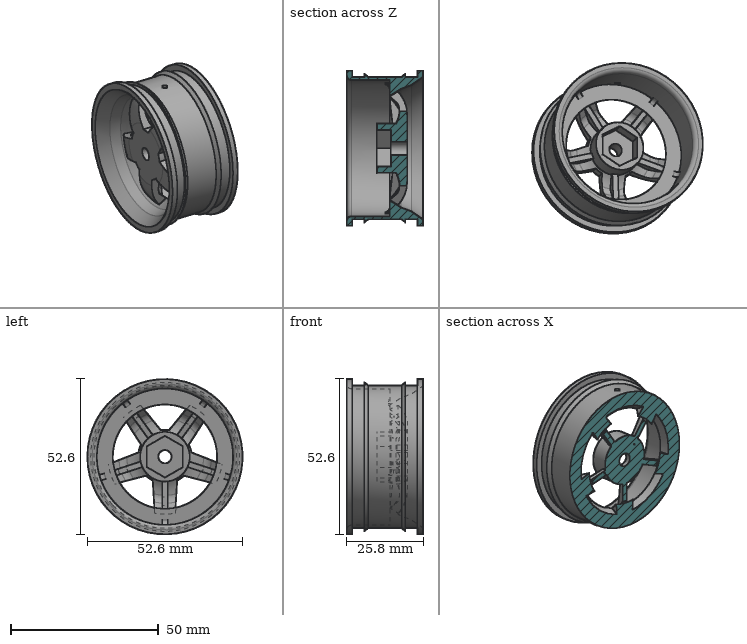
import cadquery as cq
import math


WIDTH = 25.83
FLANGE_RADIUS = 26.29
FLANGE_WIDTH = 1.9
BARREL_RADIUS = 24.15
BARREL_BORE_RADIUS = 23.05
LIP_RADIUS = 1.6
RIDGE_RADIUS = 25.2
RIDGE_OUTER_X = 6.97
RIDGE_INNER_X = 5.63
VENT_DIAMETER = 1.8

DISC_FRONT_X = 1.6
DISC_BORE_RADIUS = 17.6

INNER_CONE_X = 5.4
INNER_CONE_RADIUS = 20.0
MIDDLE_CONE_X = 8.9
MIDDLE_CONE_RADIUS = 21.3
MOUTH_RADIUS = 24.1

HUB_RADIUS = 8.4
HUB_FRONT_X = -2.7
HUB_BORE_DIAMETER = 4.4
HEX_ACROSS_FLATS = 12.2
HEX_DEPTH = 4.7

SPOKE_COUNT = 5
SPOKE_PITCH = 360 / SPOKE_COUNT
DOME_TOP_X = 7.6
DOME_TOP_RADIUS = 11.0
DOME_ARC_RADIUS = 12.5
DISH_BOTTOM_RADIUS = 13.0
DISH_INNER_ARC_RADIUS = 9.5
DISH_OUTER_ARC_RADIUS = 3.6
DISH_WALL_ANGLE = 48
WINDOW_INNER_RADIUS = 9.1
SPOKE_HALF_WIDTH_AT_HUB = 4.1
SPOKE_HALF_WIDTH_AT_DISC = 3.6
RIB_WIDTH = 1.95
RIB_DEPTH_AT_HUB = 1.05

GUSSET_WIDTH = 1.95
GUSSET_RADIUS = 1.7

OVERLAP = 0.3


def revolve_about_x(profile):
    """Revolve a closed XY outline (x, radius) about the X axis."""
    return profile.close().revolve(360, (0, 0, 0), (1, 0, 0))


def repeat_per_spoke(body):
    """Copies of a body at the spoke pitch around the X axis."""
    copies = cq.Workplane("XY")
    for index in range(SPOKE_COUNT):
        copies = copies.add(body.rotate((0, 0, 0), (1, 0, 0), index * SPOKE_PITCH))
    return copies.combine()


def make_rim():
    """Barrel with flanges, tyre ridges, disc face, coned back bore and air vent."""
    end_x = WIDTH / 2
    flange_x = end_x - FLANGE_WIDTH
    lip_x = end_x - LIP_RADIUS
    lip_outer = BARREL_BORE_RADIUS + LIP_RADIUS
    lip_mid = LIP_RADIUS * (1 - math.sqrt(0.5))
    profile = (
        cq.Workplane("XY")
        .moveTo(-end_x, lip_outer)
        .lineTo(-end_x, FLANGE_RADIUS)
        .lineTo(-flange_x, FLANGE_RADIUS)
        .lineTo(-flange_x, BARREL_RADIUS)
        .lineTo(-RIDGE_OUTER_X, BARREL_RADIUS)
        .lineTo(-RIDGE_OUTER_X, RIDGE_RADIUS)
        .lineTo(-RIDGE_INNER_X, BARREL_RADIUS)
        .lineTo(RIDGE_INNER_X, BARREL_RADIUS)
        .lineTo(RIDGE_OUTER_X, RIDGE_RADIUS)
        .lineTo(RIDGE_OUTER_X, BARREL_RADIUS)
        .lineTo(flange_x, BARREL_RADIUS)
        .lineTo(flange_x, FLANGE_RADIUS)
        .lineTo(end_x, FLANGE_RADIUS)
        .lineTo(end_x, MOUTH_RADIUS)
        .lineTo(MIDDLE_CONE_X, MIDDLE_CONE_RADIUS)
        .lineTo(INNER_CONE_X, INNER_CONE_RADIUS)
        .lineTo(DISC_FRONT_X, DISC_BORE_RADIUS)
        .lineTo(DISC_FRONT_X, BARREL_BORE_RADIUS)
        .lineTo(-lip_x, BARREL_BORE_RADIUS)
        .threePointArc((lip_mid - end_x, BARREL_BORE_RADIUS + lip_mid), (-end_x, lip_outer))
    )
    vent = cq.Workplane("XY").circle(VENT_DIAMETER / 2).extrude(FLANGE_RADIUS)
    return revolve_about_x(profile).cut(vent)


WALL_SLOPE = math.radians(DISH_WALL_ANGLE)
WALL_FOOT_RADIUS = DISH_BOTTOM_RADIUS + DISH_OUTER_ARC_RADIUS * math.sin(WALL_SLOPE)
WALL_FOOT_X = DISC_FRONT_X + (DISC_BORE_RADIUS - WALL_FOOT_RADIUS) * math.tan(WALL_SLOPE)
DISH_BOTTOM_X = WALL_FOOT_X + DISH_OUTER_ARC_RADIUS * (1 - math.cos(WALL_SLOPE))


def dish_point(arc_radius, angle):
    """Point on a dish arc, turned by an angle away from its deepest circle."""
    x = DISH_BOTTOM_X - arc_radius * (1 - math.cos(angle))
    return (x, DISH_BOTTOM_RADIUS + arc_radius * math.sin(angle))


def dome_point(angle):
    """Point on the dome arc, turned by an angle away from its flat top."""
    x = DOME_TOP_X - DOME_ARC_RADIUS * (1 - math.cos(angle))
    return (x, DOME_TOP_RADIUS + DOME_ARC_RADIUS * math.sin(angle))


def make_web():
    """Full ring between the dished front and the domed back, before the windows."""
    hub_angle = math.asin((HUB_RADIUS - DISH_BOTTOM_RADIUS) / DISH_INNER_ARC_RADIUS)
    dome_angle = math.asin((INNER_CONE_RADIUS - DOME_TOP_RADIUS) / DOME_ARC_RADIUS)
    dome_edge = dome_point(dome_angle)
    profile = (
        cq.Workplane("XY")
        .moveTo(DISC_FRONT_X, DISC_BORE_RADIUS)
        .lineTo(WALL_FOOT_X, WALL_FOOT_RADIUS)
        .threePointArc(
            dish_point(DISH_OUTER_ARC_RADIUS, WALL_SLOPE / 2),
            (DISH_BOTTOM_X, DISH_BOTTOM_RADIUS),
        )
        .threePointArc(
            dish_point(DISH_INNER_ARC_RADIUS, hub_angle / 2),
            dish_point(DISH_INNER_ARC_RADIUS, hub_angle),
        )
        .lineTo(DOME_TOP_X, HUB_RADIUS)
        .lineTo(DOME_TOP_X, DOME_TOP_RADIUS)
        .threePointArc(dome_point(dome_angle / 2), dome_edge)
        .lineTo(DISC_FRONT_X, dome_edge[1])
    )
    return revolve_about_x(profile)


def make_star():
    """Hub circle and tapered arms: what remains of the web between the windows."""
    reach = BARREL_BORE_RADIUS
    spoke_length = DISC_BORE_RADIUS - WINDOW_INNER_RADIUS
    taper = (SPOKE_HALF_WIDTH_AT_HUB - SPOKE_HALF_WIDTH_AT_DISC) / spoke_length
    half_width_on_axis = SPOKE_HALF_WIDTH_AT_HUB + taper * WINDOW_INNER_RADIUS
    half_width_at_reach = half_width_on_axis - taper * reach
    arm = (
        cq.Workplane("YZ")
        .moveTo(-half_width_on_axis, 0)
        .lineTo(half_width_on_axis, 0)
        .lineTo(half_width_at_reach, -reach)
        .lineTo(-half_width_at_reach, -reach)
        .close()
        .extrude(WIDTH)
    )
    centre = cq.Workplane("YZ").circle(WINDOW_INNER_RADIUS).extrude(WIDTH)
    return centre.union(repeat_per_spoke(arm))


def make_ribs():
    """Stiffening ribs along the middle of the spokes, from the disc to the hub."""
    rib = (
        cq.Workplane("XZ")
        .moveTo(DISC_FRONT_X, -DISC_BORE_RADIUS)
        .lineTo(DISC_FRONT_X + RIB_DEPTH_AT_HUB, -HUB_RADIUS + OVERLAP)
        .lineTo(DISH_BOTTOM_X + OVERLAP, -HUB_RADIUS + OVERLAP)
        .lineTo(DISH_BOTTOM_X + OVERLAP, -DISH_BOTTOM_RADIUS)
        .lineTo(DISC_FRONT_X + OVERLAP, -DISC_BORE_RADIUS - OVERLAP)
        .lineTo(DISC_FRONT_X, -DISC_BORE_RADIUS - OVERLAP)
        .close()
        .extrude(RIB_WIDTH / 2, both=True)
    )
    return repeat_per_spoke(rib)


def make_gussets():
    """Concave fillet blocks in the corner between disc face and barrel bore."""
    inner = BARREL_BORE_RADIUS - GUSSET_RADIUS
    front = DISC_FRONT_X - GUSSET_RADIUS
    arc_mid = GUSSET_RADIUS * math.sqrt(0.5)
    gusset = (
        cq.Workplane("XZ")
        .moveTo(DISC_FRONT_X, -inner)
        .threePointArc((front + arc_mid, -inner - arc_mid), (front, -BARREL_BORE_RADIUS))
        .lineTo(front, -BARREL_BORE_RADIUS - OVERLAP)
        .lineTo(DISC_FRONT_X + OVERLAP, -BARREL_BORE_RADIUS - OVERLAP)
        .lineTo(DISC_FRONT_X + OVERLAP, -inner)
        .close()
        .extrude(GUSSET_WIDTH / 2, both=True)
    )
    return repeat_per_spoke(gusset)


def hub_plane():
    """Workplane on the hub's front face, looking along +X."""
    return cq.Workplane("YZ", origin=(HUB_FRONT_X, 0, 0))


def make_hub():
    return hub_plane().circle(HUB_RADIUS).extrude(DOME_TOP_X - HUB_FRONT_X)


def make_hub_opening():
    """Hexagonal drive socket, with two corners on the Z axis, and the axle bore."""
    hex_across_corners = HEX_ACROSS_FLATS / math.cos(math.radians(30))
    hex_socket = (
        hub_plane()
        .polygon(6, hex_across_corners)
        .extrude(HEX_DEPTH)
        .rotate((0, 0, 0), (1, 0, 0), 90)
    )
    bore = hub_plane().circle(HUB_BORE_DIAMETER / 2).extrude(WIDTH)
    return hex_socket.union(bore)


wheel = make_web().intersect(make_star())
wheel = wheel.union(make_rim()).union(make_hub())
wheel = wheel.union(make_ribs()).union(make_gussets())
result = wheel.cut(make_hub_opening())